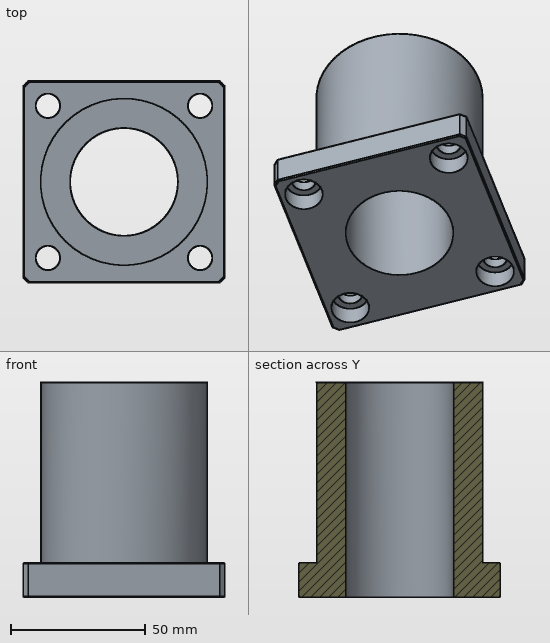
import cadquery as cq
import math

flange_side = 75.0
flange_thickness = 13.0
corner_chamfer = 2.0
edge_chamfer = 0.5
total_height = 80
sleeve_diameter = 62.0
bore_diameter = 40
bolt_circle_diameter = 80
bolt_hole_diameter = 9.0
counterbore_diameter = 14.0
counterbore_depth = 8.2

hole_spacing = bolt_circle_diameter / math.sqrt(2)


def make_flange():
    """Square flange resting on Z = 0, with cut corners and broken rims."""
    plate = cq.Workplane("XY").rect(flange_side, flange_side).extrude(flange_thickness)
    plate = plate.edges("|Z").chamfer(corner_chamfer)
    return plate.faces("<Z or >Z").edges().chamfer(edge_chamfer)


def make_sleeve():
    """Round sleeve, running the full height of the part."""
    return cq.Workplane("XY").circle(sleeve_diameter / 2).extrude(total_height)


def cut_bolt_holes(body):
    """Four corner holes, counterbored from the underside of the flange."""
    corners = cq.Workplane("XY").rect(hole_spacing, hole_spacing, forConstruction=True).vertices()
    holes = corners.circle(bolt_hole_diameter / 2).extrude(flange_thickness)
    counterbores = corners.circle(counterbore_diameter / 2).extrude(counterbore_depth)
    return body.cut(holes).cut(counterbores)


def cut_bore(body):
    """Central through bore."""
    bore = cq.Workplane("XY").circle(bore_diameter / 2).extrude(total_height)
    return body.cut(bore)


body = make_flange().union(make_sleeve())
body = cut_bolt_holes(body)
result = cut_bore(body)